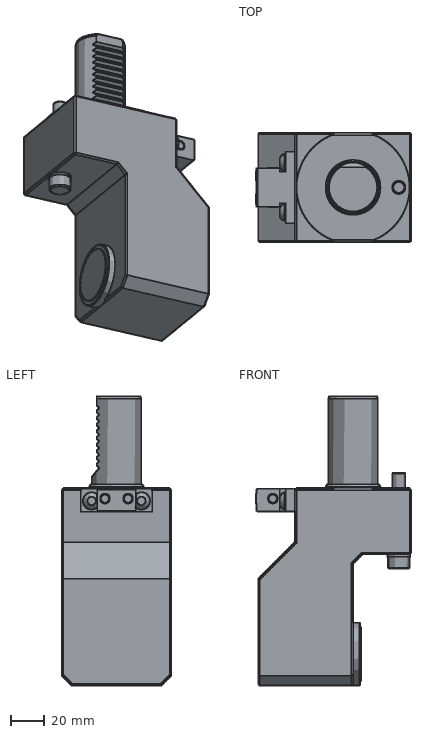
import cadquery as cq
import math


total_height = 174
shank_top_z = 55.0
bottom_z = shank_top_z - total_height

body_depth = 66.0
block_half_length = 35.0
pad_height = 0.5
overhang_z = -40.0
step_bevel = 5.7
housing_face_x = 0.0
front_face_x = -57.0
slope_top_z = -32.7
bottom_bevel = 6.1
edge_bevel = 1.0
bevel_angle = 45
pad_diameter = 2 * (block_half_length - edge_bevel)

shank_diameter = 30.0
shank_bevel_height = 1.5
shank_bevel_inset = 0.5
collar_diameter = 33.0
collar_height = 2.1
collar_cone_height = 1.5
collar_cone_inset = 1.0
rack_crest_y = 12.0
rack_root_y = 10.5
rack_pitch = 4.0
rack_first_root_z = 11.8
rack_root_count = 10
rack_runout_drop = 5.5

pin_x = 27.5
pin_diameter = 8.0
pin_height = 9.0
pin_bevel = 0.7
screw_collar_diameter = 14.0
screw_collar_height = 1.4
screw_head_diameter = 13.0
screw_head_height = 8.9
screw_head_bevel = 0.9

cap_diameter = 38.0
cap_thickness = 4.4
cap_bevel = 0.5
cap_face_diameter = 32.0
cap_face_height = 0.7

bracket_height = 14.0
plate_thickness = 5.5
plate_width = 43.0
neck_length = 3.7
neck_width = 19.0
arm_length = 14.0
arm_width = 23.1
arm_bevel = 0.7
nozzle_diameter = 6.0
nozzle_height = 0.3
nozzle_bevel_height = 0.2
nozzle_bevel_inset = 0.5
nozzle_z = -6.6
nozzle_spacing = 14.0
side_nozzle_x = -48.2
button_spacing = 30.0
button_z = -8.0
button_diameter = 10.5
button_top_diameter = 5.0
button_rim = 0.7
button_height = 3.7
plate_x = -block_half_length - plate_thickness
neck_x = plate_x - neck_length
arm_end_x = neck_x - arm_length


def cylinder(diameter, start, direction, length):
    """A round bar from a start point along a direction."""
    return cq.Workplane(cq.Plane(start, normal=direction)).circle(diameter / 2).extrude(length)


def make_body():
    """Stepped body: a block over a lower housing that reaches further toward -X."""
    block_top_z = -pad_height
    slope_drop = -block_half_length - front_face_x
    outline = [
        (-block_half_length, block_top_z),
        (block_half_length, block_top_z),
        (block_half_length, overhang_z),
        (housing_face_x + step_bevel, overhang_z),
        (housing_face_x, overhang_z - step_bevel),
        (housing_face_x, bottom_z),
        (front_face_x, bottom_z),
        (front_face_x, slope_top_z - slope_drop),
        (-block_half_length, slope_top_z),
    ]
    body = cq.Workplane("XZ").polyline(outline).close().extrude(body_depth / 2, both=True)
    body = body.faces("<Z").edges("|X").chamfer(bottom_bevel)
    sides = body.faces("<Y or >Y").edges().filter(
        lambda edge: edge.Center().z > bottom_z + bottom_bevel + edge_bevel
    )
    ends = body.faces(">Z or <Z").edges("|Y")
    overhang_end = body.faces(">X").edges("<Z")
    bottom_corners = body.edges().filter(
        lambda edge: abs(edge.Center().z - bottom_z - bottom_bevel / 2) < edge_bevel
    )
    bevelled = sides.vals() + ends.vals() + overhang_end.vals() + bottom_corners.vals()
    return body.newObject(bevelled).chamfer(edge_bevel)


def make_pad():
    """Round seating pad, its sides cut off by the planes of the body's bevels."""
    pad = cq.Workplane("XY", origin=(0, 0, -pad_height)).circle(pad_diameter / 2).extrude(pad_height)
    limit = (
        cq.Workplane("XY", origin=(0, 0, -pad_height))
        .rect(2 * pad_diameter, body_depth - 2 * edge_bevel)
        .extrude(pad_height, taper=bevel_angle)
    )
    return pad.intersect(limit)


def make_shank():
    """Round shank with a toothed flat on its +Y side and a low conical collar."""
    radius = shank_diameter / 2
    shank = (
        cylinder(shank_diameter, (0, 0, 0), (0, 0, 1), shank_top_z)
        .faces(">Z")
        .chamfer(shank_bevel_height, shank_bevel_inset)
    )
    depth = rack_crest_y - rack_root_y
    rack = [(radius, rack_first_root_z - rack_runout_drop)]
    for index in range(rack_root_count):
        root_z = rack_first_root_z + index * rack_pitch
        if index > 0:
            rack.append((rack_crest_y, root_z - depth))
        rack.append((rack_root_y, root_z))
        rack.append((rack_crest_y, root_z + depth))
    rack += [(rack_crest_y, shank_top_z), (radius, shank_top_z)]
    cutter = cq.Workplane("YZ").polyline(rack).close().extrude(radius, both=True)
    collar = (
        cylinder(collar_diameter, (0, 0, 0), (0, 0, 1), collar_height)
        .faces(">Z")
        .chamfer(collar_cone_height, collar_cone_inset)
    )
    return shank.cut(cutter).union(collar)


def make_pin_and_screw():
    """Locating pin on top of the overhang, with the head of its screw below."""
    pin = cylinder(pin_diameter, (pin_x, 0, -pad_height), (0, 0, 1), pin_height + pad_height)
    pin = pin.faces(">Z").chamfer(pin_bevel)
    base = (pin_x, 0, overhang_z)
    collar = cylinder(screw_collar_diameter, base, (0, 0, -1), screw_collar_height)
    head = cylinder(screw_head_diameter, base, (0, 0, -1), screw_head_height)
    head = head.faces("<Z").chamfer(screw_head_bevel)
    return pin.union(collar).union(head)


def make_cap():
    """Round cap standing on the +X face of the lower housing, rooted behind its edge bevel."""
    base = (housing_face_x - edge_bevel, 0, bottom_z + cap_diameter / 2)
    cap = cylinder(cap_diameter, base, (1, 0, 0), edge_bevel + cap_thickness).faces(">X").chamfer(cap_bevel)
    face = cylinder(cap_face_diameter, base, (1, 0, 0), edge_bevel + cap_thickness + cap_face_height)
    return cap.union(face)


def bracket_bar(x_min, x_max, width):
    """A bar of the bracket's height, its top level with the body's top face."""
    start = (x_min, 0, -pad_height - bracket_height)
    return cq.Workplane("XY", origin=start).box(
        x_max - x_min, width, bracket_height, centered=(False, True, False)
    )


def make_button_head(y):
    """Button-head screw: a short rim under a dome with a flat top."""
    rim_radius = button_diameter / 2
    top_radius = button_top_diameter / 2
    dome_height = button_height - button_rim
    centre_height = (top_radius**2 + dome_height**2 - rim_radius**2) / (2 * dome_height)
    dome_radius = math.hypot(rim_radius, centre_height)
    rim_angle = math.atan2(-centre_height, rim_radius)
    top_angle = math.atan2(dome_height - centre_height, top_radius)
    middle_angle = (rim_angle + top_angle) / 2
    middle_point = (
        dome_radius * math.cos(middle_angle),
        button_rim + centre_height + dome_radius * math.sin(middle_angle),
    )
    head = (
        cq.Workplane("XY")
        .lineTo(rim_radius, 0)
        .lineTo(rim_radius, button_rim)
        .threePointArc(middle_point, (top_radius, button_height))
        .lineTo(0, button_height)
        .close()
        .revolve(360, (0, 0), (0, 1))
    )
    return head.rotate((0, 0, 0), (0, 0, 1), 90).translate((plate_x, y, button_z))


def make_nozzle(outlet, direction):
    """Low round nozzle plug with a bevelled rim, standing on the arm."""
    nozzle = cylinder(nozzle_diameter, outlet, direction, nozzle_height)
    outer_face = cq.selectors.DirectionMinMaxSelector(cq.Vector(*direction))
    return nozzle.faces(outer_face).chamfer(nozzle_bevel_height, nozzle_bevel_inset)


def make_bracket():
    """T-shaped bracket with two nozzle plugs on its -X end, one at each side, and two screws."""
    bracket = bracket_bar(arm_end_x, neck_x, arm_width).faces("<X").edges("|Y").chamfer(arm_bevel)
    bracket = bracket.union(bracket_bar(neck_x, plate_x, neck_width))
    bracket = bracket.union(bracket_bar(plate_x, -block_half_length, plate_width))
    for side in (-1, 1):
        bracket = bracket.union(make_nozzle((arm_end_x, side * nozzle_spacing / 2, nozzle_z), (-1, 0, 0)))
        bracket = bracket.union(make_nozzle((side_nozzle_x, side * arm_width / 2, nozzle_z), (0, side, 0)))
        bracket = bracket.union(make_button_head(side * button_spacing / 2))
    return bracket


result = (
    make_body()
    .union(make_pad())
    .union(make_shank())
    .union(make_pin_and_screw())
    .union(make_cap())
    .union(make_bracket())
)